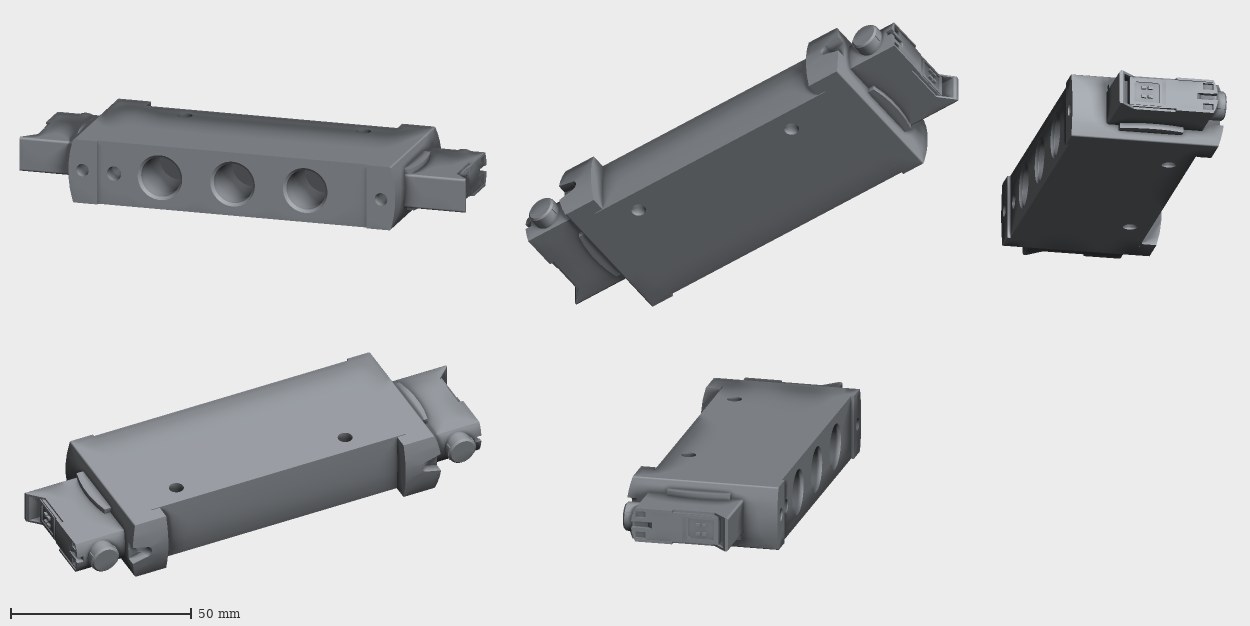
import cadquery as cq
import math


HEIGHT = 18.2
BODY_LENGTH = 78.2
BODY_FRONT = 0.8
BODY_SIDE_DEPTH = 36.5
BODY_BACK_BULGE = 0.4
PORT_DIAMETER = 11.4
PORT_RIM_CHAMFER = 0.8
PORT_RIM_ANGLE = 45.0
PORT_PITCH = 21.1
PORT_COUNT = 3
PORT_DEPTH = 18.1
PILOT_DIAMETER = 4.1
PILOT_X = -34.4
PILOT_DEPTH = 5.2
DRILL_POINT_ANGLE = 118.0
MOUNTING_DIAMETER = 4.1
MOUNTING_X = (-23.4, 28.5)
MOUNTING_Y = 31.5

COVER_DEPTH = 43.1
COVER_OUTER_X = -47.5
COVER_BULGE = 1.4
COVER_FILLET = 0.5
COVER_BACK_BULGE = 1.4
HOOK_INNER_X = -36.5
HOOK_FRONT_Y = 37.5
COVER_HOLE_DIAMETER = 3.6
COVER_HOLE_X = -43.3
NOTCH_FRONT_Y = 40.2
NOTCH_MOUTH = 5.8

CENTER_Z = 0.4
CONNECTOR_HEIGHT = 9.7
CONNECTOR_FACE_X = -62.1
CONNECTOR_ROOT_X = -45.3
CONNECTOR_FRONT = 9.7
CONNECTOR_BACK = 36.9
CONNECTOR_BACK_BULGE = 1.3
CONNECTOR_FILLET = 0.6
LIP_TIP_X = -64.7
LIP_EDGE = 0.9
RELIEF_X = -60.7
RELIEF_BACK_Y = 26.4

INSERT_HEIGHT = 8.4
CAVITY_FRONT = 11.3
CAVITY_FLOOR_X = -58.2
INSERT_FRONT = 13.3
INSERT_FACE_X = -61.7
STEP_Y = 23.5
STEP_X = -61.5
SOCKET_BACK = 22.4
SOCKET_HEIGHT = 7.6
SOCKET_OPENING_BACK = 21.7
SOCKET_OPENING_FRONT = 14.5
SOCKET_OPENING_HEIGHT = 5.8
SOCKET_KEY_CHAMFER = 0.5
SOCKET_FLOOR_X = -61.3
PIN_TIP_X = -62.1
PIN_WIDTH = 1.3
PIN_THICKNESS = 0.8
PIN_Y = (17.2, 19.0)
PIN_OFFSET_Z = 1.3

SLOT_WIDTH = 1.8
SLOT_DEPTH = 2.0
SLOT_FLOOR_END_Y = 33.8
SLOT_END_Y = 31.8
WINDOW_FRONT = 34.0
WINDOW_HEIGHT = 1.8
WINDOW_OFFSET_Z = 3.0
WINDOW_DEPTH = 1.0

SCREW_DIAMETER = 8.2
SCREW_X = -54.9
SCREW_TOP_Y = 41.4
SCREW_CHAMFER = 0.5
LUG_DIAMETER = 8.5
LUG_WIDTH = 4.3
LUG_FRONT_Y = 38.7
LUG_BACK_Y = 41.0
LUG_TAPER = 1.0

TAB_LENGTH = 18.0
TAB_TIP_X = -50.1
TAB_BULGE = 1.2
TAB_HEIGHT = 1.5
UPPER_TAB_FRONT = 13.2
LOWER_TAB_FRONT = 10.1


def block(x_range, y_range, z_range):
    """Box between the given limits along X, Y and Z."""
    size = [high - low for low, high in (x_range, y_range, z_range)]
    middle = [(high + low) / 2 for low, high in (x_range, y_range, z_range)]
    return cq.Workplane().box(*size).translate(tuple(middle))


def centered_block(x_range, y_range, height, z=CENTER_Z):
    """Box of the given height whose middle lies at z."""
    return block(x_range, y_range, (z - height / 2, z + height / 2))


def y_cylinder(diameter, x, z, y_range):
    """Cylinder along Y."""
    front, back = y_range
    plane = cq.Workplane("XZ", origin=(x, front, z))
    return plane.circle(diameter / 2).extrude(front - back)


def bulged_slab(x_range, front, back, bulge, height, z=0.0):
    """Block along X whose back face is an arc rising by bulge at mid height."""
    start, end = x_range
    profile = (
        cq.Workplane("YZ", origin=(start, 0, z))
        .moveTo(front, -height / 2)
        .lineTo(back, -height / 2)
        .threePointArc((back + bulge, 0), (back, height / 2))
        .lineTo(front, height / 2)
        .close()
    )
    return profile.extrude(end - start)


def make_port(x):
    """Cutter for a threaded port with a chamfered rim."""
    bore = y_cylinder(PORT_DIAMETER, x, 0, (BODY_FRONT, BODY_FRONT + PORT_DEPTH))
    mouth = cq.Workplane("XZ", origin=(x, BODY_FRONT, 0)).circle(PORT_DIAMETER / 2 + PORT_RIM_CHAMFER)
    rim = mouth.extrude(-PORT_RIM_CHAMFER, taper=PORT_RIM_ANGLE)
    return bore.union(rim)


def make_pilot():
    """Cutter for the blind drilled hole beside the ports."""
    radius = PILOT_DIAMETER / 2
    point = radius / math.tan(math.radians(DRILL_POINT_ANGLE / 2))
    half_section = [(0, 0), (radius, 0), (radius, PILOT_DEPTH), (0, PILOT_DEPTH + point)]
    plane = cq.Workplane("XY", origin=(PILOT_X, BODY_FRONT, 0))
    return plane.polyline(half_section).close().revolve(360, (0, 0), (0, 1))


def make_body():
    half_length = BODY_LENGTH / 2
    body_back = BODY_FRONT + BODY_SIDE_DEPTH
    body = bulged_slab((-half_length, half_length), BODY_FRONT, body_back, BODY_BACK_BULGE, HEIGHT)
    for index in range(PORT_COUNT):
        body = body.cut(make_port((index - (PORT_COUNT - 1) / 2) * PORT_PITCH))
    body = body.cut(make_pilot())
    for x in MOUNTING_X:
        hole = cq.Workplane(origin=(x, MOUNTING_Y, -HEIGHT / 2)).circle(MOUNTING_DIAMETER / 2)
        body = body.cut(hole.extrude(HEIGHT))
    return body


def make_cover(body):
    """Left cover with a bulged outer face and a hook behind the body."""
    edge_x = COVER_OUTER_X + COVER_BULGE
    outline = (
        cq.Workplane("XZ")
        .moveTo(HOOK_INNER_X, -HEIGHT / 2)
        .lineTo(edge_x, -HEIGHT / 2)
        .threePointArc((COVER_OUTER_X, 0), (edge_x, HEIGHT / 2))
        .lineTo(HOOK_INNER_X, HEIGHT / 2)
        .close()
        .extrude(-COVER_DEPTH)
    )
    end_edges = outline.edges("|Y").edges("<X")
    outline = end_edges.fillet(COVER_FILLET)
    back_edge = COVER_DEPTH - COVER_BACK_BULGE
    cover = outline.intersect(
        bulged_slab((COVER_OUTER_X, HOOK_INNER_X), 0, back_edge, COVER_BACK_BULGE, HEIGHT)
    )
    seat_x = (-BODY_LENGTH / 2, HOOK_INNER_X)
    seat = centered_block(seat_x, (0, HOOK_FRONT_Y), HEIGHT, z=0)
    return cover.cut(seat).cut(body)


def make_cover_hole():
    """Cutter for the screw hole, which opens outwards through a flared notch at the back."""
    hole = y_cylinder(COVER_HOLE_DIAMETER, COVER_HOLE_X, CENTER_Z, (0, COVER_DEPTH))
    throat = COVER_HOLE_DIAMETER / 2
    mouth = NOTCH_MOUTH / 2
    notch = (
        cq.Workplane("XZ", origin=(0, NOTCH_FRONT_Y, CENTER_Z))
        .polyline([
            (COVER_HOLE_X, -throat),
            (COVER_HOLE_X, throat),
            (COVER_OUTER_X, mouth),
            (COVER_OUTER_X, -mouth),
        ])
        .close()
        .extrude(NOTCH_FRONT_Y - COVER_DEPTH)
    )
    return hole.union(notch)


def make_tab(front, z_range):
    """Cover tab with an arched outer edge."""
    bottom, top = z_range
    end_x = TAB_TIP_X + TAB_BULGE
    return (
        cq.Workplane(origin=(0, front, bottom))
        .moveTo(CONNECTOR_ROOT_X, 0)
        .lineTo(end_x, 0)
        .threePointArc((TAB_TIP_X, TAB_LENGTH / 2), (end_x, TAB_LENGTH))
        .lineTo(CONNECTOR_ROOT_X, TAB_LENGTH)
        .close()
        .extrude(top - bottom)
    )


def make_housing():
    """Connector shell with a flared front lip and an open end."""
    lip_back = CONNECTOR_FRONT + LIP_EDGE
    relief_front = lip_back + RELIEF_X - LIP_TIP_X
    full_back = CONNECTOR_BACK + CONNECTOR_BACK_BULGE
    outline = (
        cq.Workplane(origin=(0, 0, CENTER_Z))
        .polyline([
            (CONNECTOR_ROOT_X, CONNECTOR_FRONT),
            (LIP_TIP_X, CONNECTOR_FRONT),
            (LIP_TIP_X, lip_back),
            (RELIEF_X, relief_front),
            (RELIEF_X, RELIEF_BACK_Y),
            (CONNECTOR_FACE_X, RELIEF_BACK_Y),
            (CONNECTOR_FACE_X, full_back),
            (CONNECTOR_ROOT_X, full_back),
        ])
        .close()
        .extrude(CONNECTOR_HEIGHT / 2, both=True)
        .edges("|X and <Y")
        .fillet(CONNECTOR_FILLET)
    )
    limits = bulged_slab(
        (LIP_TIP_X, CONNECTOR_ROOT_X),
        CONNECTOR_FRONT,
        CONNECTOR_BACK,
        CONNECTOR_BACK_BULGE,
        CONNECTOR_HEIGHT,
        CENTER_Z,
    )
    cavity = centered_block((LIP_TIP_X, CAVITY_FLOOR_X), (CAVITY_FRONT, CONNECTOR_BACK), INSERT_HEIGHT)
    return outline.intersect(limits).cut(cavity)


def make_socket_opening():
    """Cutter for the plug opening, keyed by its two cut lower corners."""
    depth_range = (INSERT_FACE_X, SOCKET_FLOOR_X)
    opening_range = (SOCKET_OPENING_FRONT, SOCKET_OPENING_BACK)
    opening = centered_block(depth_range, opening_range, SOCKET_OPENING_HEIGHT)
    return opening.edges("|X and <Z").chamfer(SOCKET_KEY_CHAMFER)


def make_insert():
    """Insert that fills the housing: a plate at the back, a socket with four pins in front."""
    plate = centered_block((INSERT_FACE_X, CAVITY_FLOOR_X), (STEP_Y, CONNECTOR_BACK), INSERT_HEIGHT)
    base = centered_block((STEP_X, CAVITY_FLOOR_X), (INSERT_FRONT, STEP_Y), INSERT_HEIGHT)
    socket = centered_block((INSERT_FACE_X, STEP_X), (INSERT_FRONT, SOCKET_BACK), SOCKET_HEIGHT)
    insert = plate.union(base).union(socket).cut(make_socket_opening())
    for y in PIN_Y:
        for side in (-1, 1):
            pin_range = (y - PIN_WIDTH / 2, y + PIN_WIDTH / 2)
            pin_z = CENTER_Z + side * PIN_OFFSET_Z
            insert = insert.union(
                centered_block((PIN_TIP_X, SOCKET_FLOOR_X), pin_range, PIN_THICKNESS, pin_z)
            )
    return insert


def make_face_slot():
    """Cutter for the slot from the back edge of the connector face, ending in a ramp."""
    floor_x = CONNECTOR_FACE_X + SLOT_DEPTH
    back = CONNECTOR_BACK + CONNECTOR_BACK_BULGE
    return (
        cq.Workplane(origin=(0, 0, CENTER_Z))
        .polyline([
            (CONNECTOR_FACE_X, back),
            (floor_x, back),
            (floor_x, SLOT_FLOOR_END_Y),
            (CONNECTOR_FACE_X, SLOT_END_Y),
        ])
        .close()
        .extrude(SLOT_WIDTH / 2, both=True)
    )


def make_window(side):
    """Cutter for a shallow window beside the slot."""
    depth_range = (INSERT_FACE_X, INSERT_FACE_X + WINDOW_DEPTH)
    window_z = CENTER_Z + side * WINDOW_OFFSET_Z
    return centered_block(depth_range, (WINDOW_FRONT, CONNECTOR_BACK), WINDOW_HEIGHT, window_z)


def make_screw():
    """Screw head with a lug on each side along X."""
    head = y_cylinder(SCREW_DIAMETER, SCREW_X, CENTER_Z, (CONNECTOR_BACK, SCREW_TOP_Y))
    head = head.faces(">Y").chamfer(SCREW_CHAMFER)
    lug_range = (LUG_FRONT_Y, LUG_BACK_Y)
    lug_x = (SCREW_X - LUG_DIAMETER / 2, SCREW_X + LUG_DIAMETER / 2)
    lugs = y_cylinder(LUG_DIAMETER, SCREW_X, CENTER_Z, lug_range)
    lug_rise = (LUG_DIAMETER - SCREW_DIAMETER) / 2
    lugs = lugs.faces(">Y").chamfer(lug_rise, LUG_TAPER)
    return head.union(lugs.intersect(centered_block(lug_x, lug_range, LUG_WIDTH)))


def make_end_unit(body):
    """Left end unit: cover, tabs and connector in one solid."""
    connector_top = CENTER_Z + CONNECTOR_HEIGHT / 2
    connector_bottom = CENTER_Z - CONNECTOR_HEIGHT / 2
    connector = make_housing().union(make_insert()).cut(make_face_slot())
    for side in (-1, 1):
        connector = connector.cut(make_window(side))
    unit = make_cover(body).union(connector).union(make_screw())
    unit = unit.union(make_tab(UPPER_TAB_FRONT, (connector_top, connector_top + TAB_HEIGHT)))
    unit = unit.union(make_tab(LOWER_TAB_FRONT, (connector_bottom - TAB_HEIGHT, connector_bottom)))
    return unit.cut(make_cover_hole())


valve_body = make_body()
left_unit = make_end_unit(valve_body)
end_units = [left_unit.rotate((0, 0, 0), (0, 1, 0), angle) for angle in (0, 180)]

result = cq.Compound.makeCompound([valve_body.val(), *[unit.val() for unit in end_units]])